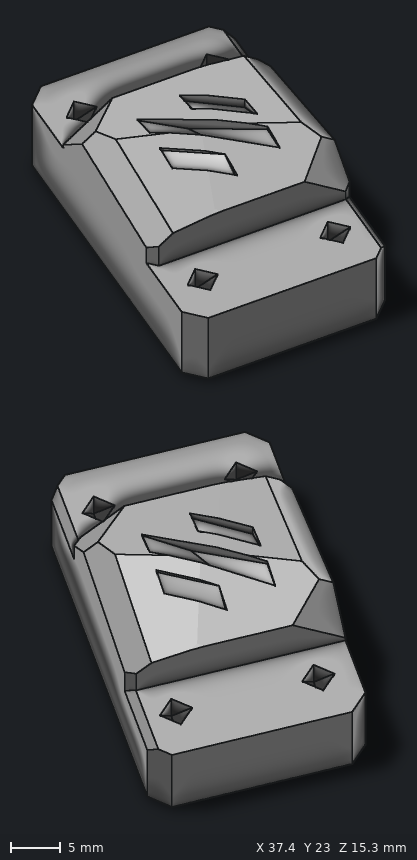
import cadquery as cq
import math

base_length = 37.36
base_width = 23.0
base_top = 9.0
base_corner = 2.0
back_edge_chamfer = 0.9

foot_height = 0.4
channel_width = 9.6

block_length = 19.5
block_corner = 0.95
peak = 15.475
ridge_half_length = 0.85
half_block = block_length / 2
half_width = base_width / 2

bevel_start = (-5.5, -half_width, 13.27)

cap_facets = [
    ((0, 0, peak), 0.196, 0.0),
    ((0, ridge_half_length, peak), 0.150, -0.1353),
    ((-9.33, 4.02, 13.64), 0.28, -0.061),
    (bevel_start, -0.147, 0.743),
    (bevel_start, 0.906, 0.743),
]

socket_spacing_x = 27.0
socket_spacing_y = 15.0
socket_diagonal = 3.4
socket_floor_angle = 59

pocket_width = 2.8
pocket_lean = 0.67
long_pocket_half_span = 5.5
short_pocket_span = 5.5
short_pocket_base_x = -6.45
valley_height = 13.75
valley_slope = (-0.11, 0.205)
short_floor_point = (-2.77, 5.45, 13.3)
short_floor_slope = (0.44, -0.33)

reach = 100


def turned(shape):
    """The shape turned half a turn about Z."""
    return shape.rotate((0, 0, 0), (0, 0, 1), 180)


def space_above(point, slope_x, slope_y):
    """Everything above a sloping plane."""
    plane = cq.Plane(origin=point, xDir=(1, 0, slope_x), normal=(-slope_x, -slope_y, 1))
    return cq.Workplane(plane).rect(reach, reach).extrude(reach)


def make_base():
    block = (
        cq.Workplane("XY")
        .rect(base_length, base_width)
        .extrude(base_top)
        .edges("|Z")
        .chamfer(base_corner)
        .faces("<Z")
        .chamfer(foot_height)
    )
    return block.faces(">Y").edges(">Z").chamfer(back_edge_chamfer)


def make_channel():
    """Channel with 45 degree sides that parts the two feet."""
    half_top = channel_width / 2
    half_bottom = half_top + foot_height
    return (
        cq.Workplane("XZ")
        .moveTo(-half_bottom, 0)
        .lineTo(-half_top, foot_height)
        .lineTo(half_top, foot_height)
        .lineTo(half_bottom, 0)
        .close()
        .extrude(base_width, both=True)
    )


def make_raised_block():
    """Block with three chamfered upright corners; the one at -X, -Y stays sharp."""
    block = (
        cq.Workplane("XY")
        .workplane(offset=foot_height)
        .rect(block_length, base_width)
        .extrude(peak)
    )
    block = block.edges("|Z and (>X or >Y)").chamfer(block_corner)
    for point, slope_x, slope_y in cap_facets:
        above = space_above(point, slope_x, slope_y)
        block = block.cut(above).cut(turned(above))
    return block


def make_sockets():
    """Upright diamond shafts ending in a V that runs along X."""
    half_diagonal = socket_diagonal / 2
    depth = half_diagonal * math.tan(math.radians(socket_floor_angle))
    shaft = (
        cq.Workplane("XY")
        .workplane(offset=base_top - depth)
        .polygon(4, socket_diagonal)
        .extrude(depth)
    )
    vee = (
        cq.Workplane("YZ")
        .moveTo(-half_diagonal, base_top)
        .lineTo(half_diagonal, base_top)
        .lineTo(0, base_top - depth)
        .close()
        .extrude(half_diagonal, both=True)
    )
    socket = shaft.intersect(vee).val()
    places = cq.Workplane("XY").rarray(socket_spacing_x, socket_spacing_y, 2, 2)
    return places.eachpoint(lambda place: socket.moved(place))


def slanted_prism(left_x, low_y, span_y):
    """Upright prism on a parallelogram whose lower left corner is given."""
    shift = pocket_lean * span_y
    outline = [
        (left_x, low_y),
        (left_x + pocket_width, low_y),
        (left_x + pocket_width + shift, low_y + span_y),
        (left_x + shift, low_y + span_y),
    ]
    return cq.Workplane("XY").polyline(outline).close().extrude(reach / 2)


def make_long_pocket():
    """Pocket through the peak with two floor slopes meeting in a valley."""
    left_x = -pocket_width / 2 - pocket_lean * long_pocket_half_span
    prism = slanted_prism(left_x, -long_pocket_half_span, 2 * long_pocket_half_span)
    floor = space_above((0, 0, valley_height), *valley_slope)
    return prism.intersect(floor).intersect(turned(floor))


def make_short_pocket():
    """Pocket on the -X side with a single sloping floor."""
    prism = slanted_prism(short_pocket_base_x, 0, short_pocket_span)
    return prism.intersect(space_above(short_floor_point, *short_floor_slope))


short_pocket = make_short_pocket()
result = (
    make_base()
    .cut(make_channel())
    .union(make_raised_block())
    .cut(make_sockets())
    .cut(make_long_pocket())
    .cut(short_pocket)
    .cut(turned(short_pocket))
)